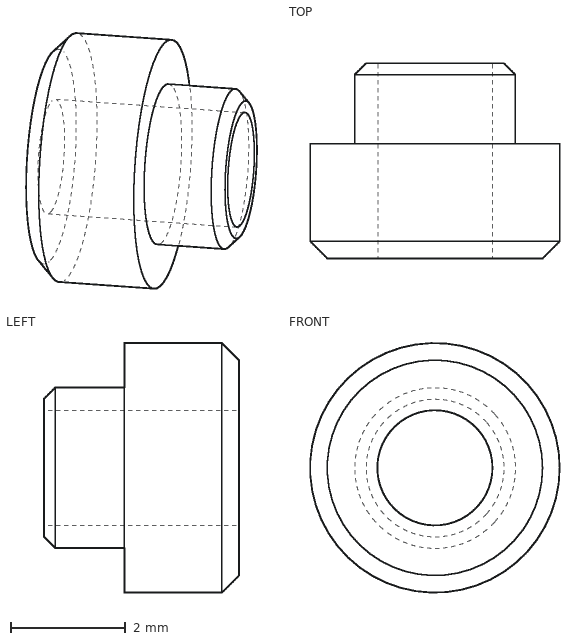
import cadquery as cq

head_diameter = 4.35
spigot_diameter = 2.8
bore_diameter = 2.0
total_length = 3.4
head_length = 2.0
head_chamfer = 0.3
spigot_chamfer = 0.2

spigot_length = total_length - head_length


def cylinder_along_y(diameter, start, length):
    """Solid cylinder running from y = start towards +Y."""
    plane = cq.Plane(origin=(0, start, 0), xDir=(1, 0, 0), normal=(0, 1, 0))
    return cq.Workplane(plane).circle(diameter / 2).extrude(length)


head = cylinder_along_y(head_diameter, 0, head_length).faces("<Y").chamfer(head_chamfer)
spigot = cylinder_along_y(spigot_diameter, head_length, spigot_length).faces(">Y").chamfer(spigot_chamfer)
bore = cylinder_along_y(bore_diameter, 0, total_length)

result = head.union(spigot).cut(bore)